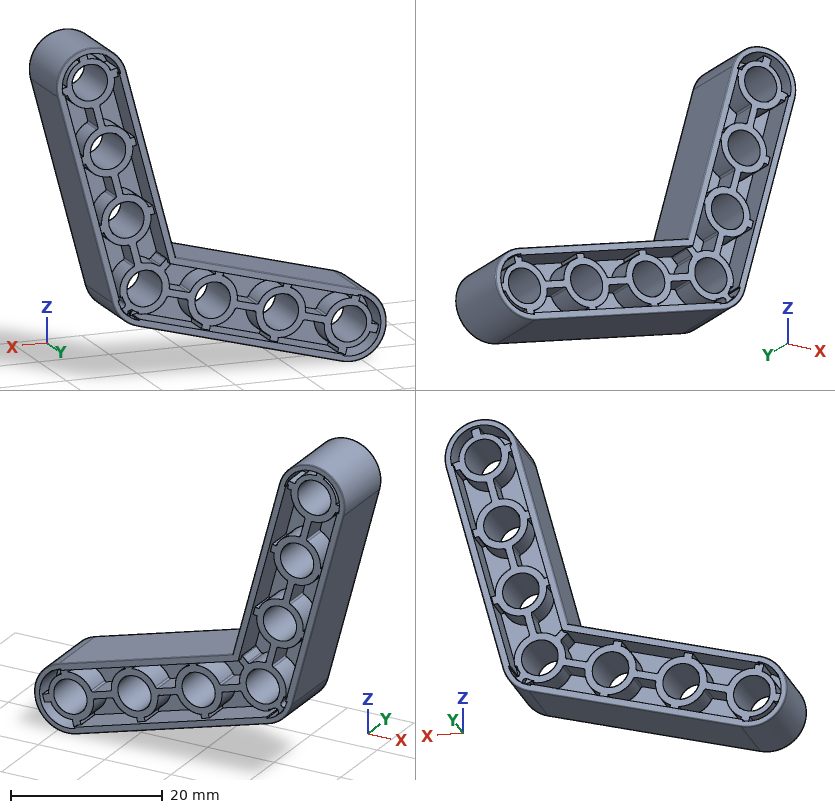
import cadquery as cq
import math

OVERALL = 46.7
THICKNESS = 10.0
RIM_RADIUS = THICKNESS / 2
HOLES_PER_ARM = 4
ARM_ANGLES = (75.0, 195.0)
BEND = ARM_ANGLES[1] - ARM_ANGLES[0]
INNER_ANGLE = sum(ARM_ANGLES) / 2
OUTER_ANGLE = INNER_ANGLE + 180.0

STEEP_ARM = math.radians(ARM_ANGLES[0])
ARM_LENGTH = (OVERALL - 2 * RIM_RADIUS) / (math.sin(STEEP_ARM) + math.cos(STEEP_ARM))
PITCH = ARM_LENGTH / (HOLES_PER_ARM - 1)

EDGE_ROUNDING = 0.105
CAVITY_HALF_WIDTH = 4.0
CAVITY_END_RADIUS = 4.2

HOLE_DIAMETER = 5.0
RING_RADIUS = 3.5
THIN_RING_RADIUS = 3.25
WEB_WIDTH = 1.0
TAB_WIDTH = 1.15
ELBOW_TAB_WIDTH = 0.9
CORNER_ROUNDING = 0.3
STRUCTURE_RECESS = 0.8
FLOOR_THICKNESS = 1.0
POCKET_DEPTH = (THICKNESS - FLOOR_THICKNESS) / 2
STRUCTURE_HEIGHT = POCKET_DEPTH - STRUCTURE_RECESS


def polar(radius, angle):
    turn = math.radians(angle)
    return radius * math.cos(turn), radius * math.sin(turn)


HOLE_CENTERS = [(0, 0)] + [
    polar(station * PITCH, angle) for angle in ARM_ANGLES for station in range(1, HOLES_PER_ARM)
]


def disc(radius, height, center=(0, 0)):
    return cq.Workplane("XY").center(*center).circle(radius).extrude(height)


def bar(length, width, angle, height, start=(0, 0)):
    """Straight bar leaving a start point in a given direction."""
    along_x = cq.Workplane("XY").center(length / 2, 0).rect(length, width).extrude(height)
    return along_x.rotate((0, 0, 0), (0, 0, 1), angle).translate((start[0], start[1], 0))


def sector(radius, middle_angle, spread, height, center=(0, 0)):
    """Pie slice of a disc."""
    return (
        cq.Workplane("XY")
        .center(*center)
        .lineTo(*polar(radius, middle_angle - spread / 2))
        .threePointArc(polar(radius, middle_angle), polar(radius, middle_angle + spread / 2))
        .close()
        .extrude(height)
    )


def beam(half_width, height):
    """Solid bent beam with round ends and a round outer elbow."""
    shape = disc(half_width, height)
    for angle in ARM_ANGLES:
        shape = shape.union(bar(ARM_LENGTH, 2 * half_width, angle, height))
        shape = shape.union(disc(half_width, height, polar(ARM_LENGTH, angle)))
    return shape.clean()


def cavity(height):
    """Space inside the wall, slightly wider at the round ends and the outer elbow."""
    shape = sector(CAVITY_END_RADIUS, OUTER_ANGLE, 180.0 - BEND, height)
    for angle in ARM_ANGLES:
        arm_end = polar(ARM_LENGTH, angle)
        shape = shape.union(bar(ARM_LENGTH, 2 * CAVITY_HALF_WIDTH, angle, height))
        shape = shape.union(sector(CAVITY_END_RADIUS, angle, 180.0, height, arm_end))
    return shape


def ring_relief(angle, spread, center=(0, 0)):
    """Material taken off a ring to thin it where it faces a round wall."""
    facing_wall = sector(RIM_RADIUS, angle, spread, STRUCTURE_HEIGHT, center)
    return facing_wall.cut(disc(THIN_RING_RADIUS, STRUCTURE_HEIGHT, center))


def elbow_tab():
    """Tab outside the elbow, with its flanks hollowed by the round slot ends."""
    slot_end_radius = (CAVITY_END_RADIUS - THIN_RING_RADIUS) / 2
    slot_radius = (CAVITY_END_RADIUS + THIN_RING_RADIUS) / 2
    spread = math.degrees((ELBOW_TAB_WIDTH + 2 * slot_end_radius) / slot_radius)
    tab = sector(RIM_RADIUS, OUTER_ANGLE, spread, STRUCTURE_HEIGHT)
    for side in (-1, 1):
        slot_end = polar(slot_radius, OUTER_ANGLE + side * spread / 2)
        tab = tab.cut(disc(slot_end_radius, STRUCTURE_HEIGHT, slot_end))
    return tab


def rings_and_webs():
    """Rings without their holes, joined by webs and the rib inside the elbow."""
    shape = bar(RIM_RADIUS, WEB_WIDTH, INNER_ANGLE, STRUCTURE_HEIGHT)
    for angle in ARM_ANGLES:
        shape = shape.union(bar(ARM_LENGTH, WEB_WIDTH, angle, STRUCTURE_HEIGHT))
    for center in HOLE_CENTERS:
        shape = shape.union(disc(RING_RADIUS, STRUCTURE_HEIGHT, center))
    return shape.clean().edges("|Z").fillet(CORNER_ROUNDING)


def structure():
    """Rings, webs, rib and tabs; the rib and tabs run on into the wall."""
    shape = rings_and_webs().cut(ring_relief(OUTER_ANGLE, 180.0 - BEND)).union(elbow_tab())
    for angle in ARM_ANGLES:
        arm_end = polar(ARM_LENGTH, angle)
        shape = shape.cut(ring_relief(angle, 180.0, arm_end))
        shape = shape.union(bar(RIM_RADIUS, TAB_WIDTH, angle, STRUCTURE_HEIGHT, arm_end))
        for station in range(1, HOLES_PER_ARM):
            center = polar(station * PITCH, angle)
            for side in (-90.0, 90.0):
                tab = bar(RIM_RADIUS, TAB_WIDTH, angle + side, STRUCTURE_HEIGHT, center)
                shape = shape.union(tab)
    return shape


part = beam(RIM_RADIUS, THICKNESS).faces("<Z or >Z").fillet(EDGE_ROUNDING)

pockets = cavity(POCKET_DEPTH).cut(structure()).translate((0, 0, THICKNESS - POCKET_DEPTH))
part = part.cut(pockets).cut(pockets.mirror("XY", (0, 0, THICKNESS / 2)))

holes = cq.Workplane("XY").pushPoints(HOLE_CENTERS).circle(HOLE_DIAMETER / 2).extrude(THICKNESS)
part = part.cut(holes)

result = part.translate((0, 0, -THICKNESS / 2)).rotate((0, 0, 0), (1, 0, 0), 90)